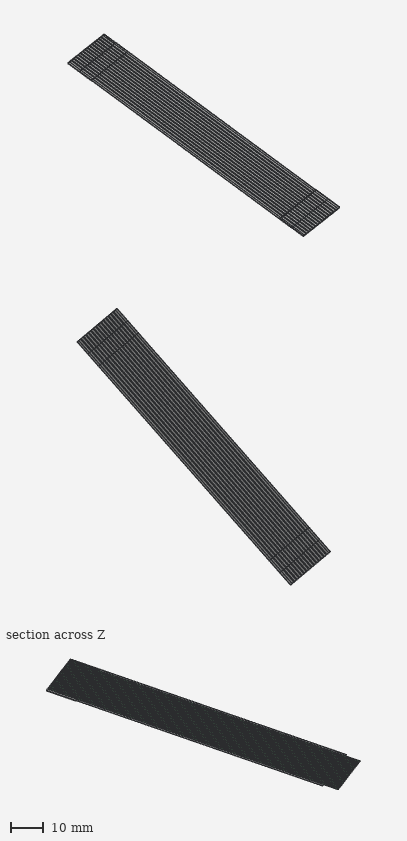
import cadquery as cq

length = 100
width = 16
total_thickness = 0.59
contact_length = 5
stiffener_length = 10
film_thickness = 0.045
conductor_count = 15
conductor_width = 0.7
conductor_thickness = 0.05

conductor_pitch = width / (conductor_count + 1)
ribbon_thickness = 2 * film_thickness + conductor_thickness
stiffener_thickness = (total_thickness - ribbon_thickness) / 2

lower_film_z = stiffener_thickness
conductor_z = lower_film_z + film_thickness
upper_film_z = conductor_z + conductor_thickness
upper_stiffener_z = upper_film_z + film_thickness


def strip(x_start, x_end, z_bottom, thickness, strip_width=width, y_center=0):
    """Flat strip running along X, centred on y_center."""
    workplane = cq.Workplane("XY", origin=(x_start, y_center, z_bottom))
    return workplane.box(x_end - x_start, strip_width, thickness, centered=(False, True, False))


lower_film = strip(0, length - contact_length, lower_film_z, film_thickness)
upper_film = strip(contact_length, length, upper_film_z, film_thickness)

lower_stiffener = strip(0, stiffener_length, 0, stiffener_thickness)
upper_stiffener = strip(length - stiffener_length, length, upper_stiffener_z, stiffener_thickness)

result = lower_stiffener.union(lower_film)

for index in range(conductor_count):
    conductor_y = (index - (conductor_count - 1) / 2) * conductor_pitch
    conductor = strip(0, length, conductor_z, conductor_thickness, conductor_width, conductor_y)
    result = result.union(conductor)

result = result.union(upper_film).union(upper_stiffener)